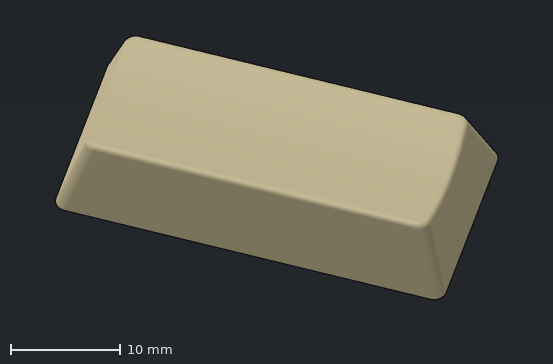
import cadquery as cq

length = 37.35
width = 18.3

wall_draft = 17.5
corner_radius = 1.27

dish_radius = 21.65
dish_floor = 6.45
rim_radius = 0.6

blank_height = 8.95
cut_margin = 1.85


def tapered_blank():
    """Solid keycap body with inward-leaning walls and rounded corner edges."""
    body = cq.Workplane("XY").rect(length, width).extrude(blank_height, taper=wall_draft)
    sloped_edges = body.edges("not(#Z or |X or |Y)")
    return sloped_edges.fillet(corner_radius)


def dish_cutter():
    """Long cylinder whose underside forms the dish."""
    cut_length = length + 2 * cut_margin
    axis_height = dish_floor + dish_radius
    return (
        cq.Workplane("YZ", origin=(-cut_length / 2, 0, axis_height))
        .circle(dish_radius)
        .extrude(cut_length)
    )


dished_body = tapered_blank().cut(dish_cutter())

rim_edges = dished_body.faces("%CYLINDER").faces(">Z").edges()
result = rim_edges.fillet(rim_radius)